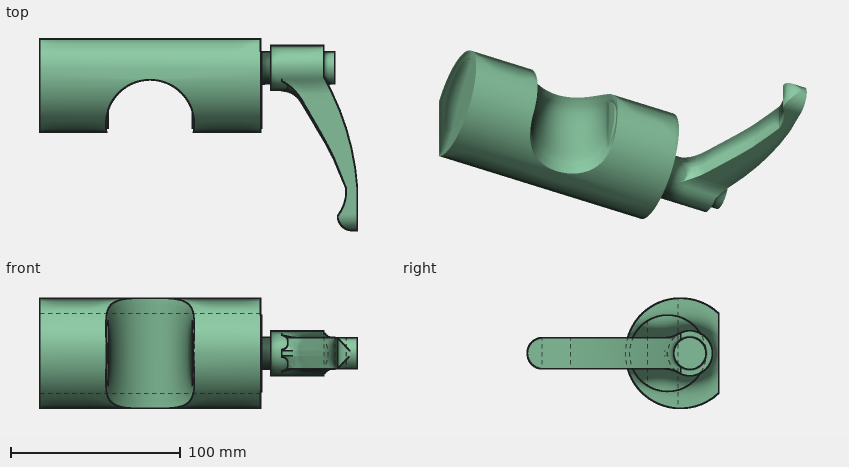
import cadquery as cq
import math

body_length = 130.0
body_radius = 32.5
flat_y = 22.5

notch_x = body_length / 2
notch_radius = 26.0
notch_y = -27.6

rod_radius = 22.5
rod_y = -7.6
rod_recess = 0.1
rod_proud = 0.6
jaw_half_gap = 24.7

lever_y = 5.5
stem_radius = 9.5
hub_start_x = 136.0
hub_end_x = 167.3
hub_radius = 13.25
button_end_x = 173.8

arm_half_width = 9.25
arm_outer_x = 187.0
arm_tip_y = -90.25
neck_start_x = 142.4
neck_fillet_radius = 14.6
heel_y = -65.0

arm_edge = [(158.7, -21.0), (165.6, -33.0), (171.8, -44.5), (176.4, -55.5)]
hollow_start = (180.2, heel_y)
hollow_middle = (179.6, -73.0)
hollow_end = (175.3, -81.6)
tip_middle = (177.4, -87.2)
tip_end = (183.5, arm_tip_y)
outer_middle = (181.2, -32.7)

bend_radius = 13.2
bend_angle = 58.0
bend_steps = 5
bend_centre_x = neck_start_x
crest_start_y = -8.0
bend_centre_y = crest_start_y - bend_radius
rib_start_height = 5.8
rib_bend_height = 1.0
rib_end_height = 0.05
rib_half_width = 1.6
rib_root_depth = 2.0


def x_cylinder(radius, y, start_x, end_x):
    """Cylinder along X, centred on z = 0."""
    return cq.Workplane("YZ", origin=(start_x, y, 0)).circle(radius).extrude(end_x - start_x)


def z_cylinder(radius, y):
    """Cylinder along Z through the notch position, taller than the body."""
    return cq.Workplane("XY").center(notch_x, y).circle(radius).extrude(2 * body_radius, both=True)


def clamp_body():
    """Flat-backed bar with the notch, the rod ends and the two flat jaws inside the notch."""
    outline = x_cylinder(body_radius, 0, 0, body_length)
    keep = cq.Workplane("XY").box(body_length, 2 * body_radius, 2 * body_radius).translate(
        (body_length / 2, flat_y - body_radius, 0)
    )
    body = outline.intersect(keep).cut(z_cylinder(notch_radius, notch_y))
    body = body.cut(x_cylinder(rod_radius, rod_y, 0, rod_recess))
    proud_end = x_cylinder(rod_radius, rod_y, body_length, body_length + rod_proud)
    rod = x_cylinder(rod_radius, rod_y, rod_recess, body_length)
    gap_block = cq.Workplane("XY").box(2 * jaw_half_gap, 4 * body_radius, 2 * body_radius)
    jaw_gap = gap_block.translate((notch_x, 0, 0))
    jaws = rod.intersect(z_cylinder(notch_radius, notch_y)).cut(jaw_gap)
    return body.union(jaws).union(proud_end)


def lever_hub():
    stem = x_cylinder(stem_radius, lever_y, body_length, button_end_x)
    return stem.union(x_cylinder(hub_radius, lever_y, hub_start_x, hub_end_x))


def bend_step_angle(step):
    """Angle turned since the start of the bend."""
    return math.radians(bend_angle) * step / (bend_steps - 1)


def bend_height(step):
    """Rib height in the bend, falling quadratically along it."""
    remaining = 1 - step / (bend_steps - 1)
    return rib_bend_height + (rib_start_height - rib_bend_height) * remaining**2


def bend_edge(step):
    """Point on the arm's underside edge in the bend; the rib crest keeps the bend radius."""
    angle = bend_step_angle(step)
    radius = bend_radius + bend_height(step)
    return (bend_centre_x + radius * math.sin(angle), bend_centre_y + radius * math.cos(angle))


def arm_side_profile():
    """Arm seen along Z, running from the hub to the hooked tip."""
    underside = [bend_edge(step) for step in range(1, bend_steps)] + arm_edge + [hollow_start]
    return (
        cq.Workplane("XY")
        .moveTo(hub_end_x, lever_y)
        .lineTo(neck_start_x, lever_y)
        .lineTo(*bend_edge(0))
        .spline(underside, includeCurrent=True)
        .threePointArc(hollow_middle, hollow_end)
        .threePointArc(tip_middle, tip_end)
        .lineTo(arm_outer_x, arm_tip_y)
        .lineTo(arm_outer_x, heel_y)
        .threePointArc(outer_middle, (hub_end_x, 0))
        .close()
        .extrude(2 * hub_radius, both=True)
    )


def arm_end_profile():
    """Arm seen along X: hub circle, filleted neck, parallel sides and round tip."""
    centre_z = arm_half_width + neck_fillet_radius
    centre_drop = math.sqrt((hub_radius + neck_fillet_radius) ** 2 - centre_z**2)
    drop_angle = math.atan2(centre_drop, centre_z)
    touch_y = lever_y - hub_radius * math.sin(drop_angle)
    touch_z = hub_radius * math.cos(drop_angle)
    neck_y = lever_y - centre_drop
    middle_angle = drop_angle / 2
    middle_y = neck_y + neck_fillet_radius * math.sin(middle_angle)
    middle_z = centre_z - neck_fillet_radius * math.cos(middle_angle)
    tip_y = arm_tip_y + arm_half_width
    return (
        cq.Workplane("YZ", origin=(neck_start_x, 0, 0))
        .moveTo(touch_y, touch_z)
        .threePointArc((middle_y, middle_z), (neck_y, arm_half_width))
        .lineTo(tip_y, arm_half_width)
        .threePointArc((arm_tip_y, 0), (tip_y, -arm_half_width))
        .lineTo(neck_y, -arm_half_width)
        .threePointArc((middle_y, -middle_z), (touch_y, -touch_z))
        .threePointArc((lever_y + hub_radius, 0), (touch_y, touch_z))
        .close()
        .extrude(arm_outer_x - neck_start_x)
    )


def rib_wire(edge, height, angle):
    """Rib cross-section on an arm edge point, in a plane turned by angle from the Y axis."""
    inward = cq.Vector(math.sin(angle), math.cos(angle), 0)
    side = cq.Vector(0, 0, arm_half_width)
    crest_side = cq.Vector(0, 0, rib_half_width)
    edge = cq.Vector(*edge)
    root = edge + inward * rib_root_depth
    crest = edge - inward * height
    points = [root + side, edge + side, crest + crest_side, crest - crest_side, edge - side, root - side]
    return cq.Wire.makePolygon(points, close=True)


def arm_rib():
    """Rib made of the bend out of the hub and the tapering run to the finger hollow."""
    bend = [rib_wire(bend_edge(step), bend_height(step), bend_step_angle(step)) for step in range(bend_steps)]
    straight_edge = [bend_edge(bend_steps - 1)] + arm_edge + [hollow_start]
    spans = len(straight_edge) - 1
    straight = []
    for index, edge in enumerate(straight_edge):
        height = rib_bend_height + (rib_end_height - rib_bend_height) * index / spans
        straight.append(rib_wire(edge, height, math.radians(bend_angle)))
    bend_part = cq.Workplane(obj=cq.Solid.makeLoft(bend))
    return bend_part.union(cq.Workplane(obj=cq.Solid.makeLoft(straight)))


def lever_arm():
    return arm_side_profile().intersect(arm_end_profile()).union(arm_rib())


result = clamp_body().union(lever_hub()).union(lever_arm())